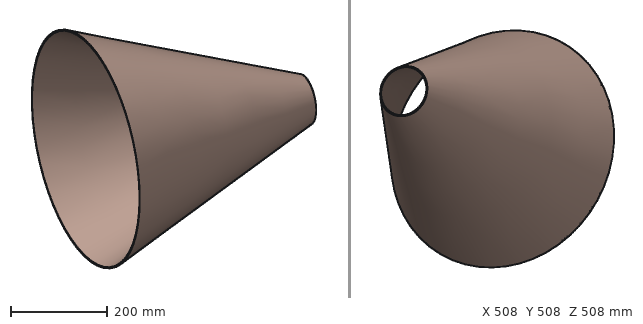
import cadquery as cq

length = 508.0
wide_diameter = 508.0
narrow_diameter = 108.0
wall = 3.0

wide_radius = wide_diameter / 2
narrow_radius = narrow_diameter / 2

wall_section = (
    cq.Workplane("XY")
    .moveTo(wide_radius - wall, 0)
    .lineTo(wide_radius, 0)
    .lineTo(narrow_radius, length)
    .lineTo(narrow_radius - wall, length)
    .close()
)

result = wall_section.revolve(360, (0, 0, 0), (0, 1, 0))